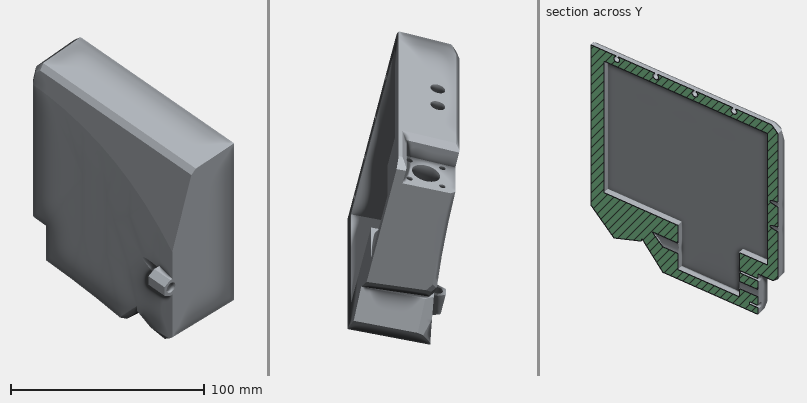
import cadquery as cq
import math

width = 121.2
height = 130.7
low_front = 33.2
high_front = 43.9
bulge_slope = 0.2
draft = 3.0
corner_cut = 5.0
edge_chamfer = 2.5
margin = 13.1

bottom_end = 75.8
notch_x, notch_z = 88.8, 15.4
tip_x, tip_z = 106.4, 9.5

roof_y, roof_z, roof_angle = -29.8, 128.6, 17.0
chin_z, chin_angle = 22.5, 31.0
bevel_y, bevel_angle = -34.0, 53.0
bevel_lead = 1.3

recess_floor = 5.0
recess_height = 27.7
lip_width = 2.9
lip_depth = 3.4
plate_x = 13.0
motor_y, motor_z = -17.5, 15.3
motor_bore = 15.0
motor_screw_pitch = 17.5
screw_diameter = 3.4
blind_screw_depth = 6.5

button_y = -21.0
button_heights = (62.8, 79.0)
button_diameter = 8.0

wall = 8.5
floor = 7.7
cavity_depth = 28.2
block_height = 36.6
left_block_end = 26.1
right_block_start = 65.4

cable_y, cable_z = -18.5, 21.5
cable_diameter = 13.9
cable_depth = 13.1

lid_first_x = 29.7
lid_pitch = 25.0
lid_count = 4
lid_hole_z = 127.2
lid_hole_depth = 27.6

boss_y, boss_z = -44.8, 58.7
boss_front = 4.6
boss_front_half = 2.9
boss_shoulder = 0.4
boss_half_height = 5.4
boss_root = 3.9
boss_length = 12.2
boss_bore = 6.1
groove_y = -43.0
groove_diameter = 7.6
groove_length = 32.7

lean = math.tan(math.radians(draft))
tip_slope = (tip_z - notch_z) / (tip_x - notch_x)
diagonal_slope = notch_z / (notch_x - bottom_end)
deep = high_front + margin


def prism(plane, points, start, length):
    """Extrude a closed polygon along the plane normal, starting at an offset."""
    return cq.Workplane(plane).workplane(offset=start).polyline(points).close().extrude(length)


def side_hole(x, y, z, diameter, length, direction=(1, 0, 0)):
    """Round cutter entering from the left."""
    return cq.Workplane(cq.Solid.makeCylinder(diameter / 2, length, cq.Vector(x, y, z), cq.Vector(direction)))


def slope_cut(y, z, angle, x_start, up):
    """Everything in front of a plane through (y, z) that reaches forward going down (up=True) or up."""
    slope = math.tan(math.radians(angle))
    side = 1 if up else -1
    points = [
        (y + margin * slope, z + side * margin),
        (y - height * slope, z - side * height),
        (y - 2 * height, z - side * height),
        (y - 2 * height, z + side * margin),
    ]
    return prism("YZ", points, x_start, width)


def side_outline_block():
    """Drafted main outline joined with the tip, both running past the right end."""
    far_x = width + margin
    far_z = diagonal_slope * (far_x - bottom_end)
    main_outline = [
        (0, corner_cut),
        (corner_cut, 0),
        (bottom_end, 0),
        (far_x, far_z),
        (far_x, height),
        (corner_cut, height),
        (0, height - corner_cut),
    ]
    tip_outline = [
        (right_block_start, notch_z + tip_slope * (right_block_start - notch_x)),
        (far_x, notch_z + tip_slope * (far_x - notch_x)),
        (far_x, far_z),
        (notch_x, far_z),
    ]
    tip_outline[0] = (notch_x, notch_z)
    main_block = cq.Workplane("XZ").polyline(main_outline).close().extrude(deep, taper=draft)
    return main_block.union(prism("XZ", tip_outline, 0, deep))


def front_envelope():
    """Front surface that leaves the left side squarely and swells towards the right end."""
    third = width / 3
    curve = [
        (third, -low_front),
        (width - third, -high_front + bulge_slope * third),
        (width, -high_front),
    ]
    outline = cq.Workplane("XY").lineTo(0, -low_front).bezier(curve, includeCurrent=True)
    return outline.lineTo(width, 0).close().extrude(height)


def is_front_edge(edge):
    center = edge.Center()
    return center.y < roof_y + 1.3 and center.x < width - 1.3


def on_diagonal(edge):
    center = edge.Center()
    return is_front_edge(edge) and bottom_end < center.x < notch_x and center.z < notch_z


def on_rim(edge):
    center = edge.Center()
    near_side = center.x < corner_cut or center.z < corner_cut or center.z > height - corner_cut
    return is_front_edge(edge) and near_side


def outer_body():
    body = side_outline_block().intersect(front_envelope())
    body = body.cut(slope_cut(roof_y, roof_z, roof_angle, 0, up=True))
    body = body.edges().filter(on_diagonal).chamfer(edge_chamfer)
    body = body.edges().filter(on_rim).chamfer(edge_chamfer)

    end_cut = [
        (tip_x - margin, tip_z - margin),
        (width + margin, tip_z + width + margin - tip_x),
        (width + margin, tip_z - margin),
    ]
    body = body.cut(prism("XZ", end_cut, 0, deep))
    body = body.cut(slope_cut(-high_front, chin_z, chin_angle, notch_x, up=False))

    tip_angle = -math.degrees(math.atan(tip_slope))
    bevel = slope_cut(bevel_y, 0, bevel_angle, -bevel_lead, up=False)
    bevel = bevel.rotate((0, 0, 0), (0, 1, 0), tip_angle).translate((notch_x, 0, notch_z))
    return body.cut(bevel)


def cavity():
    outline = [
        (left_block_end, floor),
        (right_block_start, floor),
        (right_block_start, block_height),
        (width - wall, block_height),
        (width - wall, height - wall),
        (wall, height - wall),
        (wall, block_height),
        (left_block_end, block_height),
    ]
    return prism("XZ", outline, 0, cavity_depth)


def motor_recess():
    """Pocket ending on a plate parallel to the left side, with a sloped lip around its mouth."""
    reach = deep
    pocket = [
        (-margin, -recess_floor),
        (plate_x, -recess_floor),
        (plate_x + lean * (reach - recess_floor), -reach),
        (-margin, -reach),
    ]
    lip_y = -recess_floor + lip_width
    lip_top = recess_height + lip_width
    lip_outline = [(lip_y, lip_top), (-reach, lip_top), (-reach, -margin), (lip_y, -margin)]
    lip_taper = math.degrees(math.atan(lip_width / lip_depth))
    side_plane = cq.Plane((0, 0, 0), xDir=(-lean, 1, 0), normal=(1, lean, 0))
    lip = cq.Workplane(side_plane).polyline(lip_outline).close().extrude(lip_depth, taper=lip_taper)
    return prism("XY", pocket, -margin, recess_height + margin).union(lip)


def motor_holes():
    """Central bore and upper screw holes through the left block, lower ones blind and pointed."""
    through = left_block_end - plate_x + 1.3
    holes = side_hole(plate_x, motor_y, motor_z, motor_bore, through)
    for side in (-1, 1):
        y = motor_y + side * motor_screw_pitch / 2
        upper_z = motor_z + motor_screw_pitch / 2
        lower_z = motor_z - motor_screw_pitch / 2
        point = cq.Solid.makeCone(
            screw_diameter / 2,
            0,
            screw_diameter,
            cq.Vector(plate_x + blind_screw_depth, y, lower_z),
            cq.Vector(1, 0, 0),
        )
        holes = holes.union(side_hole(plate_x, y, upper_z, screw_diameter, through))
        holes = holes.union(side_hole(plate_x, y, lower_z, screw_diameter, blind_screw_depth))
        holes = holes.union(cq.Workplane(point))
    return holes


def cable_bore():
    bore = side_hole(right_block_start, cable_y, cable_z, cable_diameter, cable_depth + cable_diameter)
    end_x = right_block_start + cable_depth
    in_front_of_end = [
        (end_x - 2 * margin, cable_z - 2 * margin),
        (end_x + margin, cable_z + margin),
        (end_x - 2 * margin, cable_z + margin),
    ]
    return bore.intersect(prism("XZ", in_front_of_end, 0, deep))


def lid_holes():
    centers = [(lid_first_x + i * lid_pitch, lid_hole_z) for i in range(lid_count)]
    return cq.Workplane("XZ").pushPoints(centers).circle(screw_diameter / 2).extrude(lid_hole_depth)


def with_boss(body):
    end = cq.Workplane("YZ", origin=(width - boss_length, boss_y, boss_z))
    outline = [
        (boss_root, boss_half_height),
        (-boss_shoulder, boss_half_height),
        (-boss_front, boss_front_half),
        (-boss_front, -boss_front_half),
        (-boss_shoulder, -boss_half_height),
        (boss_root, -boss_half_height),
    ]
    groove = end.center(groove_y - boss_y, 0).circle(groove_diameter / 2).extrude(-groove_length)
    boss = end.polyline(outline).close().extrude(boss_length)
    bore = end.circle(boss_bore / 2).extrude(boss_length)
    return body.cut(groove).union(boss).cut(bore)


result = outer_body().cut(cavity()).cut(motor_recess()).cut(motor_holes())
for button_z in button_heights:
    result = result.cut(side_hole(0, button_y, button_z, button_diameter, wall + 1.3, (1, lean, 0)))
result = result.cut(cable_bore()).cut(lid_holes())
result = with_boss(result)